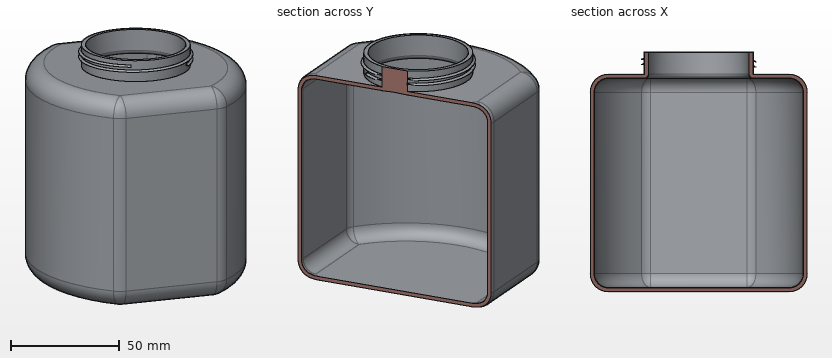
import cadquery as cq
import math

body_width = 100.0
body_height = 100.0
flat_half_length = body_width / 4
edge_radius = 8.5
wall = 2.0

neck_diameter = 50.0
bore_diameter = 46.0
total_height = 110

thread_pitch = 2.4
thread_turns = 1.8
thread_depth = 1.2
thread_root_height = 0.8
thread_start_height = 102.8
thread_start_angle = 48


def bowed_block(half_width, half_length, base, height, radius):
    """Block with flat X sides, bowed Y sides and every outer edge rounded."""
    return (
        cq.Workplane("XY", origin=(0, 0, base))
        .moveTo(half_width, -half_length)
        .lineTo(half_width, half_length)
        .threePointArc((0, half_width), (-half_width, half_length))
        .lineTo(-half_width, -half_length)
        .threePointArc((0, -half_width), (half_width, -half_length))
        .close()
        .extrude(height)
        .edges()
        .fillet(radius)
    )


def make_bottle_shell():
    half_width = body_width / 2
    outside = bowed_block(half_width, flat_half_length, 0, body_height, edge_radius)
    neck = (
        cq.Workplane("XY", origin=(0, 0, body_height - wall))
        .circle(neck_diameter / 2)
        .extrude(total_height - body_height + wall)
    )
    bow = half_width - flat_half_length
    arc_radius = (half_width ** 2 + bow ** 2) / (2 * bow)
    arc_centre = half_width - arc_radius
    cavity_half_width = half_width - wall
    cavity_half_length = arc_centre + math.sqrt((arc_radius - wall) ** 2 - cavity_half_width ** 2)
    cavity = bowed_block(
        cavity_half_width, cavity_half_length, wall, body_height - 2 * wall, edge_radius - wall
    )
    bore = (
        cq.Workplane("XY", origin=(0, 0, body_height / 2))
        .circle(bore_diameter / 2)
        .extrude(total_height - body_height / 2)
    )
    mouth_radius = bore_diameter / 2 + wall
    bore_flare = (
        cq.Workplane("XZ")
        .moveTo(0, body_height - wall)
        .lineTo(mouth_radius, body_height - wall)
        .radiusArc((bore_diameter / 2, body_height), wall)
        .lineTo(0, body_height)
        .close()
        .revolve(360, (0, 0, 0), (0, 1, 0))
    )
    return outside.union(neck).cut(cavity).cut(bore).cut(bore_flare)


def make_thread():
    """Right-handed ridge with a flat underside and a sloping top, seated on the neck."""
    root_radius = neck_diameter / 2
    ridge_section = (
        cq.Workplane("XZ")
        .moveTo(root_radius, thread_start_height)
        .lineTo(root_radius + thread_depth, thread_start_height)
        .lineTo(root_radius, thread_start_height + thread_root_height)
        .close()
    )
    helix = cq.Wire.makeHelix(
        thread_pitch,
        thread_pitch * thread_turns,
        root_radius,
        center=cq.Vector(0, 0, thread_start_height),
    )
    ridge = ridge_section.sweep(cq.Workplane(helix), isFrenet=True)
    return ridge.rotate((0, 0, 0), (0, 0, 1), thread_start_angle)


bottle = make_bottle_shell()
thread = make_thread()
result = cq.Compound.makeCompound([bottle.val(), thread.val()])